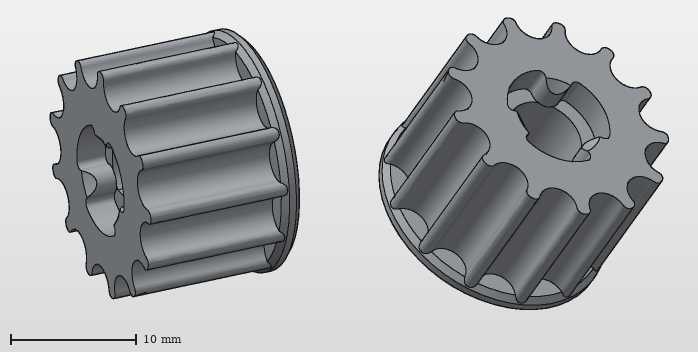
import cadquery as cq
import math

total_length = 13.18

tooth_count = 13
groove_start_angle = -90
tip_radius = 9.77
groove_depth = 2.07
groove_radius = 1.65
tooth_edge_fillet = 0.52

flange_radius = 9.875
flange_thickness = 1.6
flange_back_chamfer = 0.5
flange_front_chamfer = 0.5

toothed_length = total_length - flange_back_chamfer

bore_radius = 3.2
flat_offset = 2.38

pocket_radius = 4.53
pocket_depth = 2.5
pocket_corner_fillet = 0.54
lobe_count = 3
lobe_start_angle = 90
lobe_radius = 1.24
lobe_tip_offset = 2.95
lead_in_radius = 3.77
lead_in_depth = lead_in_radius - lobe_tip_offset


def along_axis(start):
    """Workplane across the axis at Y = start, extruding toward +Y, with local X and Y along -X and Z."""
    return cq.Workplane(cq.Plane(origin=(0, start, 0), xDir=(-1, 0, 0), normal=(0, 1, 0)))


def disc(radius, start, length):
    return along_axis(start).circle(radius).extrude(length)


def ring_points(radius, count, first_angle):
    """Points evenly spaced on a circle; angles in degrees from the local X axis."""
    step = 360 / count
    angles = [math.radians(first_angle + step * i) for i in range(count)]
    return [(radius * math.cos(a), radius * math.sin(a)) for a in angles]


def toothed_body():
    """Cylinder with round belt grooves; one tooth points to +Z, so one groove points to -Z."""
    groove_centre = tip_radius - groove_depth + groove_radius
    centres = ring_points(groove_centre, tooth_count, groove_start_angle)
    grooves = along_axis(0).pushPoints(centres).circle(groove_radius).extrude(toothed_length)
    body = disc(tip_radius, 0, toothed_length).cut(grooves)
    return body.edges("|Y").fillet(tooth_edge_fillet)


def flange():
    """Disc at the back end, chamfered on both rims."""
    blank = disc(flange_radius, total_length - flange_thickness, flange_thickness)
    blank = blank.faces(">Y").edges().chamfer(flange_back_chamfer)
    return blank.faces("<Y").edges().chamfer(flange_front_chamfer)


def bore():
    """D-shaped bore from the pocket floor to the back face, with its flat on the -Z side."""
    length = total_length - pocket_depth
    height = bore_radius + flat_offset
    above_flat = (
        along_axis(pocket_depth)
        .center(0, (bore_radius - flat_offset) / 2)
        .rect(2 * bore_radius, height)
        .extrude(length)
    )
    return disc(bore_radius, pocket_depth, length).intersect(above_flat)


def coupling_pocket():
    """Round recess less its lobes, with rounded outer corners beside each lobe."""
    centres = ring_points(lobe_tip_offset + lobe_radius, lobe_count, lobe_start_angle)
    lobes = along_axis(0).pushPoints(centres).circle(lobe_radius).extrude(pocket_depth)
    recess = disc(pocket_radius, 0, pocket_depth).cut(lobes)
    return recess.edges("|Y").fillet(pocket_corner_fillet)


def lobe_lead_in():
    """Cone that bevels the lobe tips at the end face."""
    profile = [(0, 0), (lead_in_radius, 0), (lobe_tip_offset, lead_in_depth), (0, lead_in_depth)]
    return cq.Workplane("XY").polyline(profile).close().revolve(360, (0, 0, 0), (0, 1, 0))


result = (
    toothed_body()
    .union(flange())
    .cut(bore())
    .cut(coupling_pocket())
    .cut(lobe_lead_in())
)